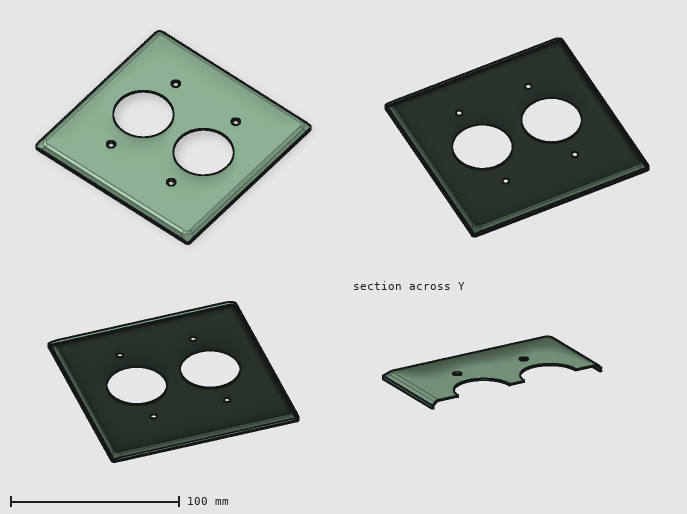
import cadquery as cq
import math

LENGTH = 117.47
WIDTH = 115.87
HEIGHT = 5.08
SHEET = 1.175

WALL_HEIGHT = 2.2
SLOPE_ANGLE = 45
RIM_ARC_RADIUS = 3.175
WALL_CORNER_RADIUS = 1.88
HIP_RADIUS = 6.35

GANG_PITCH = 46.04
OUTLET_DIAMETER = 35.72
SCREW_PITCH = 60.33
SCREW_DIAMETER = 3.96
SINK_DIAMETER = 5.4
SINK_ANGLE = 82


def sloped_block(inset):
    """Pyramid frustum with sloped sides, rounded hips and a rounded top rim."""
    top = HEIGHT - inset
    slope = math.radians(SLOPE_ANGLE)
    slope_height = WALL_HEIGHT - inset / math.cos(slope)
    overhang = 2 * slope_height / math.tan(slope)
    block = (
        cq.Workplane("XY")
        .rect(LENGTH + overhang, WIDTH + overhang)
        .extrude(top, taper=90 - SLOPE_ANGLE)
    )
    block = block.edges("not(#Z)").fillet(HIP_RADIUS - inset)
    return block.faces(">Z").edges().fillet(RIM_ARC_RADIUS - inset)


def domed_body(inset):
    """Solid bounded by the outer skin moved inward by the inset."""
    walls = (
        cq.Workplane("XY")
        .rect(LENGTH - 2 * inset, WIDTH - 2 * inset)
        .extrude(HEIGHT)
        .edges("|Z")
        .fillet(WALL_CORNER_RADIUS - inset)
    )
    return walls.intersect(sloped_block(inset))


def cut_outlets(plate):
    """Round outlet opening in each gang."""
    openings = (
        cq.Workplane("XY")
        .rarray(GANG_PITCH, 1, 2, 1)
        .circle(OUTLET_DIAMETER / 2)
        .extrude(HEIGHT)
    )
    return plate.cut(openings)


def cut_screw_holes(plate):
    """Countersunk screw hole above and below each outlet."""
    return (
        plate.faces(">Z")
        .workplane(origin=(0, 0, HEIGHT))
        .rarray(GANG_PITCH, SCREW_PITCH, 2, 2)
        .cskHole(SCREW_DIAMETER, SINK_DIAMETER, SINK_ANGLE)
    )


shell = domed_body(0).cut(domed_body(SHEET))
result = cut_screw_holes(cut_outlets(shell))